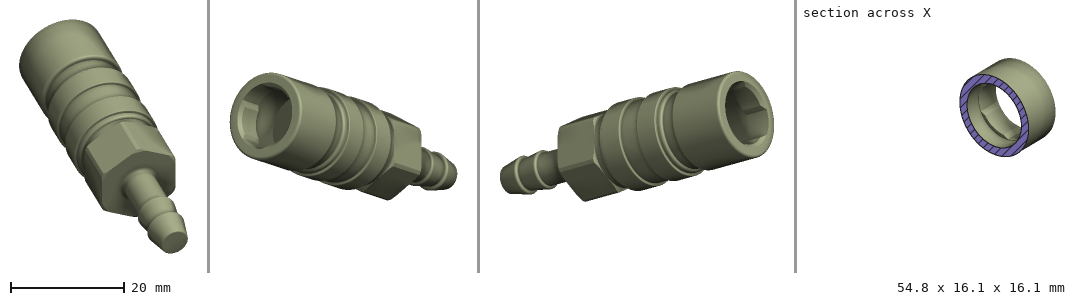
import cadquery as cq
import math


total_length = 54.8

sleeve_diameter = 15.8
sleeve_length = 10.95
sleeve_rounding = 0.5
body_diameter = 14.0

grip_center_x = 20.7
grip_core_diameter = 15.1
grip_core_length = 14.5
grip_core_rounding = 0.5
collar_diameter = 16.15
collar_width = 4.3
collar_gap = 3.95
collar_rounding = 0.15

hex_start_x = 29.3
hex_end_x = 37.7
hex_across_flats = 14.0
hex_corner_diameter = 15.8
hex_chamfer_height = 0.5
hex_chamfer_length = 0.2

stem_diameter = 6.0
stem_root_fillet = 0.65
first_barb_x = 45.75
second_barb_x = 50.2
barb_diameter = 7.25
barb_waist_diameter = 5.75
barb_tip_diameter = 5.05
barb_lip_rounding = 0.4
tip_rounding = 0.3

bore_diameter = 12.0
pad_diameter = 10.8
pad_count = 3
pad_flat_distance = 4.8
pad_end_x = 4.75
chamber_diameter = 12.3
chamber_end_x = sleeve_length
mouth_chamfer = (bore_diameter - pad_diameter) / 2


def cylinder(start_x, end_x, diameter):
    """Solid cylinder on the X axis."""
    plane = cq.Workplane("YZ", origin=(start_x, 0, 0))
    return plane.circle(diameter / 2).extrude(end_x - start_x)


def cone(start_x, end_x, start_diameter, end_diameter):
    """Solid truncated cone on the X axis."""
    outline = [
        (start_x, 0),
        (start_x, start_diameter / 2),
        (end_x, end_diameter / 2),
        (end_x, 0),
    ]
    return cq.Workplane("XY").polyline(outline).close().revolve(360, (0, 0, 0), (1, 0, 0))


def make_sleeve():
    return cylinder(0, sleeve_length, sleeve_diameter).edges().fillet(sleeve_rounding)


def make_grip():
    core_start = grip_center_x - grip_core_length / 2
    core = cylinder(core_start, core_start + grip_core_length, grip_core_diameter)
    grip = core.edges().fillet(grip_core_rounding)
    collar_offset = (collar_gap + collar_width) / 2
    for side in (-1, 1):
        collar_start = grip_center_x + side * collar_offset - collar_width / 2
        collar = cylinder(collar_start, collar_start + collar_width, collar_diameter)
        grip = grip.union(collar.edges().fillet(collar_rounding))
    return grip


def make_hexagon():
    """Hexagon with flats on +Y and -Y, its corners turned down and chamfered at both ends."""
    across_corners = hex_across_flats / math.cos(math.pi / 6)
    prism = (
        cq.Workplane("YZ", origin=(hex_start_x, 0, 0))
        .transformed(rotate=(0, 0, 90))
        .polygon(6, across_corners)
        .extrude(hex_end_x - hex_start_x)
    )
    envelope = (
        cylinder(hex_start_x, hex_end_x, hex_corner_diameter)
        .faces("<X or >X")
        .chamfer(hex_chamfer_length, hex_chamfer_height)
    )
    return prism.intersect(envelope)


def make_stem():
    """Plain stem flared by a fillet where it leaves the hexagon."""
    stem_radius = stem_diameter / 2
    fillet_end_x = hex_end_x + stem_root_fillet
    outline = (
        cq.Workplane("XY")
        .moveTo(hex_end_x, 0)
        .lineTo(hex_end_x, stem_radius + stem_root_fillet)
        .radiusArc((fillet_end_x, stem_radius), -stem_root_fillet)
        .lineTo(first_barb_x, stem_radius)
        .lineTo(first_barb_x, 0)
        .close()
    )
    return outline.revolve(360, (0, 0, 0), (1, 0, 0))


def make_barbs():
    first = cone(first_barb_x, second_barb_x, barb_diameter, barb_waist_diameter)
    second = cone(second_barb_x, total_length, barb_diameter, barb_tip_diameter)
    first = first.faces("<X").edges().fillet(barb_lip_rounding)
    second = second.faces("<X").edges().fillet(barb_lip_rounding)
    second = second.faces(">X").edges().fillet(tip_rounding)
    return first.union(second)


def make_bore():
    """Cutter for the chamfered mouth, the padded entry and the wider chamber behind it."""
    entry = cylinder(0, pad_end_x, bore_diameter)
    for index in range(pad_count):
        pad_block = (
            cq.Workplane("XY")
            .box(pad_end_x, bore_diameter, bore_diameter, centered=(False, False, True))
            .translate((0, pad_flat_distance, 0))
            .rotate((0, 0, 0), (1, 0, 0), index * 360 / pad_count)
        )
        entry = entry.cut(pad_block)
    passage = cylinder(0, chamber_end_x, pad_diameter)
    mouth = cone(0, mouth_chamfer, bore_diameter, pad_diameter)
    chamber = cylinder(pad_end_x, chamber_end_x, chamber_diameter)
    return entry.union(passage).union(mouth).union(chamber)


body = cylinder(sleeve_length / 2, hex_start_x, body_diameter)
result = (
    body.union(make_sleeve())
    .union(make_grip())
    .union(make_hexagon())
    .union(make_stem())
    .union(make_barbs())
    .cut(make_bore())
)